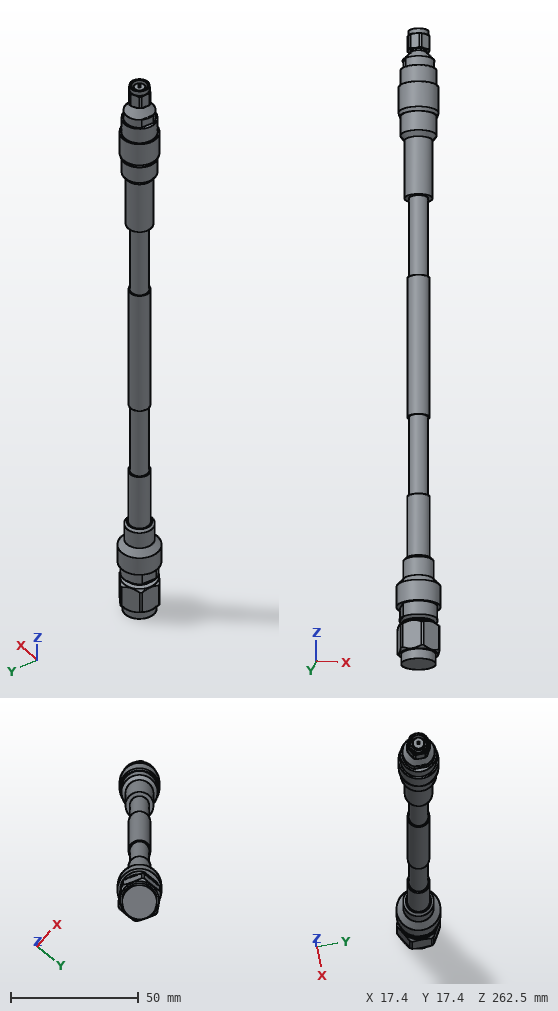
import cadquery as cq
import math

TOTAL_LENGTH = 262.5

UPPER_TUBE_BOTTOM = 193.2
UPPER_TUBE_RADIUS = 5.5
UPPER_TAIL_BOTTOM = 217.0
UPPER_TAIL_CONE_TOP = 219.2
UPPER_BODY_BOTTOM = 227.0
UPPER_BODY_CHAMFER_TOP = 228.5
UPPER_BODY_TOP = 239.0
UPPER_BODY_RADIUS = 8.0
UPPER_BARREL_RADIUS = 7.0
UPPER_BODY_CHAMFER_RADIUS = 7.3
UPPER_BARREL_TOP = 246.2
UPPER_SHOULDER_RADIUS = 6.3
UPPER_SHOULDER_TOP = 250.2
UPPER_NECK_RADIUS = 3.1
UPPER_NECK_BOTTOM = 253.5
UPPER_NUT_BOTTOM = 254.4
UPPER_NUT_TOP = 260.5
UPPER_NUT_FLATS = 8.5
UPPER_NUT_CORNERS = 9.2
UPPER_NUT_BEVEL = 0.3
UPPER_TIP_RADIUS = 4.0
UPPER_WRENCH_FLATS = 11.3
SOCKET_DIAMETER = 6.3
SOCKET_DEPTH = 4.0
INSERT_DIAMETER = 4.5
CONTACT_PIN_DIAMETER = 0.95
INSERT_RECESS = 0.8

LOWER_TUBE_TOP = 69.3
LOWER_TUBE_RADIUS = 4.5
LOWER_TAIL_TOP = 43.5
LOWER_TAIL_RADIUS = 6.0
LOWER_TAIL_CHAMFER = 1.0
LOWER_CONE_TOP = 35.0
LOWER_BODY_TOP = 32.0
LOWER_BODY_BOTTOM = 23.5
LOWER_BODY_RADIUS = 8.7
LOWER_COLLAR_RADIUS = 7.5
LOWER_COLLAR_BOTTOM = 18.0
LOWER_COLLAR_CONE_RADIUS = 6.3
LOWER_COLLAR_CONE_BOTTOM = 17.0
LOWER_NECK_RADIUS = 5.2
LOWER_NUT_TOP = 15.7
LOWER_NUT_BOTTOM = 4.0
LOWER_NUT_FLATS = 15.5
LOWER_NUT_CORNERS = 17.3
LOWER_NUT_BEVEL = 1.0
LOWER_TIP_RADIUS = 6.8
LOWER_WRENCH_FLATS = 13.6

CABLE_DIAMETER = 7.5
CABLE_MIDDLE = (LOWER_TUBE_TOP + UPPER_TUBE_BOTTOM) / 2
SLEEVE_DIAMETER = 8.7
SLEEVE_LENGTH = 57.7
SLEEVE_BOTTOM = CABLE_MIDDLE - SLEEVE_LENGTH / 2
SLEEVE_TOP = CABLE_MIDDLE + SLEEVE_LENGTH / 2

HEX_SIDES = 6
HALF_SIDE_ANGLE = 180 / HEX_SIDES


def cylinder(radius, bottom, top):
    return cq.Workplane("XY").workplane(offset=bottom).circle(radius).extrude(top - bottom)


def turned(profile):
    """Solid of revolution about Z from outer (radius, z) points listed upward."""
    axis_bottom = (0, profile[0][1])
    axis_top = (0, profile[-1][1])
    outline = [axis_bottom, *profile, axis_top]
    return cq.Workplane("XZ").polyline(outline).close().revolve(360, (0, 0, 0), (0, 1, 0))


def hex_nut(flats, corners, bottom, top, bevel):
    """Hexagon with flats facing +X and -X, its corners turned down and bevelled."""
    full_corners = flats / math.cos(math.radians(HALF_SIDE_ANGLE))
    prism = (
        cq.Workplane("XY")
        .workplane(offset=bottom)
        .polygon(HEX_SIDES, full_corners)
        .extrude(top - bottom)
        .rotate((0, 0, 0), (0, 0, 1), HALF_SIDE_ANGLE)
    )
    envelope = cylinder(corners / 2, bottom, top).faces("<Z or >Z").chamfer(bevel)
    return prism.intersect(envelope)


def cut_wrench_flats(body, diameter, flats, bottom, top):
    """Cut flats facing +X and -X into a round length of the given diameter."""
    height = top - bottom
    slab = cq.Workplane("XY").box(flats, diameter, height).translate((0, 0, bottom + height / 2))
    waste = cylinder(diameter / 2, bottom, top).cut(slab)
    return body.cut(waste)


def make_cable():
    return cylinder(CABLE_DIAMETER / 2, LOWER_TUBE_TOP, UPPER_TUBE_BOTTOM)


def make_marker_sleeve():
    bore = cylinder(CABLE_DIAMETER / 2, SLEEVE_BOTTOM, SLEEVE_TOP)
    return cylinder(SLEEVE_DIAMETER / 2, SLEEVE_BOTTOM, SLEEVE_TOP).cut(bore)


def add_coaxial_socket(body):
    """Open the tip into a socket that holds a recessed round insert with a central pin."""
    floor = TOTAL_LENGTH - SOCKET_DEPTH
    socket = cylinder(SOCKET_DIAMETER / 2, floor, TOTAL_LENGTH)
    insert = cylinder(INSERT_DIAMETER / 2, floor, TOTAL_LENGTH - INSERT_RECESS)
    pin = cylinder(CONTACT_PIN_DIAMETER / 2, floor, TOTAL_LENGTH)
    return body.cut(socket).union(insert).union(pin)


def make_upper_connector():
    body = turned([
        (UPPER_TUBE_RADIUS, UPPER_TUBE_BOTTOM),
        (UPPER_TUBE_RADIUS, UPPER_TAIL_BOTTOM),
        (UPPER_BARREL_RADIUS, UPPER_TAIL_CONE_TOP),
        (UPPER_BARREL_RADIUS, UPPER_BODY_BOTTOM),
        (UPPER_BODY_CHAMFER_RADIUS, UPPER_BODY_BOTTOM),
        (UPPER_BODY_RADIUS, UPPER_BODY_CHAMFER_TOP),
        (UPPER_BODY_RADIUS, UPPER_BODY_TOP),
        (UPPER_BARREL_RADIUS, UPPER_BODY_TOP),
        (UPPER_BARREL_RADIUS, UPPER_BARREL_TOP),
        (UPPER_SHOULDER_RADIUS, UPPER_BARREL_TOP),
        (UPPER_SHOULDER_RADIUS, UPPER_SHOULDER_TOP),
        (UPPER_NECK_RADIUS, UPPER_NECK_BOTTOM),
        (UPPER_NECK_RADIUS, UPPER_NUT_BOTTOM),
    ])
    body = cut_wrench_flats(
        body, 2 * UPPER_SHOULDER_RADIUS, UPPER_WRENCH_FLATS, UPPER_BARREL_TOP, UPPER_SHOULDER_TOP
    )
    nut = hex_nut(UPPER_NUT_FLATS, UPPER_NUT_CORNERS, UPPER_NUT_BOTTOM, UPPER_NUT_TOP, UPPER_NUT_BEVEL)
    tip = cylinder(UPPER_TIP_RADIUS, UPPER_NUT_TOP, TOTAL_LENGTH)
    return add_coaxial_socket(body.union(nut).union(tip))


def make_lower_connector():
    body = turned([
        (LOWER_NECK_RADIUS, LOWER_NUT_TOP),
        (LOWER_NECK_RADIUS, LOWER_COLLAR_CONE_BOTTOM),
        (LOWER_COLLAR_CONE_RADIUS, LOWER_COLLAR_CONE_BOTTOM),
        (LOWER_COLLAR_RADIUS, LOWER_COLLAR_BOTTOM),
        (LOWER_COLLAR_RADIUS, LOWER_BODY_BOTTOM),
        (LOWER_BODY_RADIUS, LOWER_BODY_BOTTOM),
        (LOWER_BODY_RADIUS, LOWER_BODY_TOP),
        (LOWER_TAIL_RADIUS, LOWER_CONE_TOP),
        (LOWER_TAIL_RADIUS, LOWER_TAIL_TOP - LOWER_TAIL_CHAMFER),
        (LOWER_TAIL_RADIUS - LOWER_TAIL_CHAMFER, LOWER_TAIL_TOP),
        (LOWER_TUBE_RADIUS, LOWER_TAIL_TOP),
        (LOWER_TUBE_RADIUS, LOWER_TUBE_TOP),
    ])
    body = cut_wrench_flats(
        body, 2 * LOWER_COLLAR_RADIUS, LOWER_WRENCH_FLATS, LOWER_COLLAR_BOTTOM, LOWER_BODY_BOTTOM
    )
    nut = hex_nut(LOWER_NUT_FLATS, LOWER_NUT_CORNERS, LOWER_NUT_BOTTOM, LOWER_NUT_TOP, LOWER_NUT_BEVEL)
    tip = cylinder(LOWER_TIP_RADIUS, 0, LOWER_NUT_BOTTOM)
    return body.union(nut).union(tip)


cable = make_cable()
marker_sleeve = make_marker_sleeve()
upper_connector = make_upper_connector()
lower_connector = make_lower_connector()

result = cq.Compound.makeCompound([
    cable.val(),
    marker_sleeve.val(),
    upper_connector.val(),
    lower_connector.val(),
])